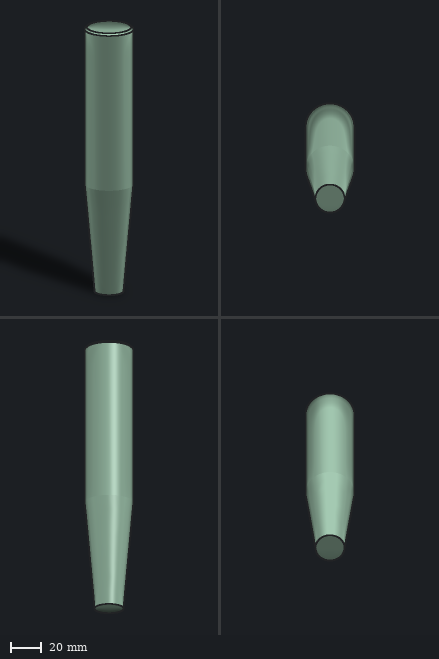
import cadquery as cq

total_length = 180.0
shank_diameter = 32.0
tip_diameter = 19.0
taper_length = 73.0
top_chamfer = 1.5

shank_radius = shank_diameter / 2
tip_radius = tip_diameter / 2

profile = (
    cq.Workplane("XZ")
    .lineTo(tip_radius, 0)
    .lineTo(shank_radius, taper_length)
    .lineTo(shank_radius, total_length)
    .lineTo(0, total_length)
    .close()
)
body = profile.revolve(360, (0, 0, 0), (0, 1, 0))

result = body.faces(">Z").edges().chamfer(top_chamfer)